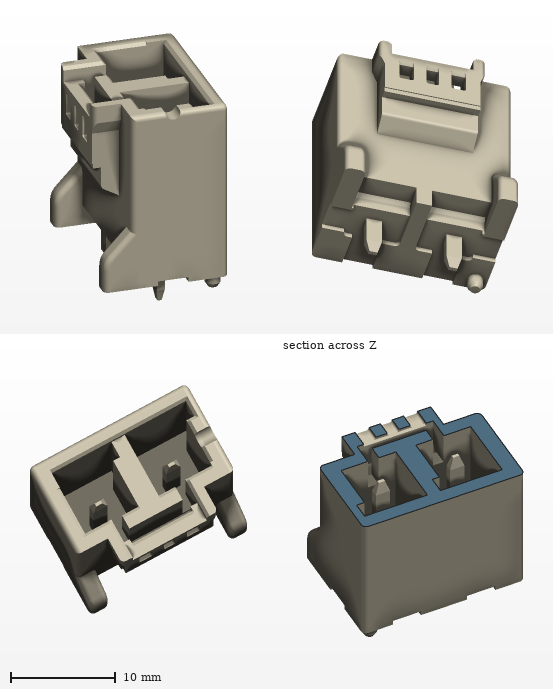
import cadquery as cq
import math


WIDTH = 17.22
BODY_DEPTH = 9.7
FRONT_REACH = 2.75
HEIGHT = 18.14
EDGE_RADIUS = 0.55

PIN_X = 3.97
PIN_Y = 4.19
PIN_WIDTH = 1.53
PIN_THICKNESS = 0.8
PIN_BOTTOM = HEIGHT - 21.8
PIN_TOP = 13.52
PIN_TIP_LENGTH = 1.26
TAIL_TIP_SIZE = (0.8, 0.4)
CONTACT_TIP_SIZE = (0.65, 0.33)

CAVITY_FLOOR = 2.62
CAVITY_HALF_WIDTH = 6.89
CAVITY_FRONT = 1.5
CAVITY_BACK = 8.2
KEY_Y = 6.52
KEY_RECESS_X = 7.74
RIM_CHAMFER = 0.3
RIB_CHAMFER_FRONT = 1.8

DIVIDER_TOP = 17.29
DIVIDER_HALF_WIDTH = 1.1
DIVIDER_NECK_LEFT = -0.35
CROSSBAR_HALF_WIDTH = 2.9

BOX_HALF_WIDTH = 4.75
EAR_HALF_WIDTH = 5.23
EAR_TAPER_TOP = 16.4
EAR_TAPER_BOTTOM = 15.15
BOX_LIP_TOP = 11.92
BOX_LIP_BOTTOM = 11.45
BOX_LIP_STEP = 0.1
BOX_CHIN_REACH = 1.8
BOX_FOOT = 8.22
BOX_FOOT_ANGLE = 30.0
BOX_CHIN_RADIUS = 0.44

CHANNEL_HALF_WIDTH = 4.03
CHANNEL_FLOOR = 10.46
PANEL_TOP = 16.61
PANEL_BACK = -0.8

SLOT_BEVEL_TOP = 11.12
SLOT_BEVEL_Y = -0.65
SLOT_BEVEL_BOTTOM = 10.9
SLOT_FLOOR_Y = -0.33
SLOT_FLOOR = 10.03

WINDOW_TOP = 15.87
WINDOW_BOTTOM = 13.55
WINDOW_CEILING_DROP = 0.3
WINDOW_CEILING_RUN = 0.25
WINDOW_OUTER_X = 3.31
WINDOW_INNER_X = 1.85
WINDOW_MIDDLE_HALF = 0.6
WINDOW_CORNER_RADIUS = 0.22
POCKET_FRONT = -1.2
POCKET_CHAMFER = 0.35

NOTCH_RADIUS = 0.76

LEG_INNER_X = 6.58
LEG_TOP = 5.95
LEG_CORNER_Z = 3.05
LEG_BEND_RADIUS = 2.0

UNDERCUT_DEPTH = 2.1
UNDERCUT_CEILING = 2.03
UNDERCUT_BEVEL_HEIGHT = 0.5
UNDERCUT_BEVEL_RUN = 0.28
POST_LEFT = -0.83
POST_RIGHT = 0.72
FOOT_HEIGHT = 0.48
FOOT_SIDE_X = 6.4
FOOT_FILLET = 0.48
FOOT_SETBACK = 6.21
GROOVE_WIDTH = 3.0
SIDE_GROOVE_WIDTH = 3.05

PEG_X = 7.4
PEG_Y = 8.52
PEG_RADIUS = 0.76
PEG_LENGTH = 1.33
PEG_CHAMFER = 0.45
PEG_TIP_INSET = 0.28


def block(x0, x1, y0, y1, z0, z1):
    return cq.Workplane("XY").box(x1 - x0, y1 - y0, z1 - z0, centered=False).translate((x0, y0, z0))


def across(points, x0, x1):
    """Prism of a (y, z) outline running from x0 to x1."""
    return cq.Workplane("YZ").workplane(offset=x0).polyline(points).close().extrude(x1 - x0)


def make_shell():
    """Outer block with its two legs, rounded at the sides, the back of the rim and along the legs."""
    profile = [
        (BODY_DEPTH, 0),
        (BODY_DEPTH, HEIGHT),
        (0, HEIGHT),
        (0, LEG_TOP),
        (-FRONT_REACH, LEG_CORNER_Z),
        (-FRONT_REACH, 0),
    ]
    shell = across(profile, -WIDTH / 2, WIDTH / 2)
    bend = cq.selectors.NearestToPointSelector((0, -FRONT_REACH, LEG_CORNER_Z))
    shell = shell.edges(bend).fillet(LEG_BEND_RADIUS)
    shell = shell.cut(block(-LEG_INNER_X, LEG_INNER_X, -2 * FRONT_REACH, 0, 0, HEIGHT))

    back_rim = shell.faces(">Y").edges(">Z")
    shell = shell.faces("<X or >X").edges("not <Z").add(back_rim).fillet(EDGE_RADIUS)

    clear = 0.02
    inner_edges = cq.selectors.BoxSelector(
        (-LEG_INNER_X - clear, -FRONT_REACH - clear, clear),
        (LEG_INNER_X + clear, -clear, LEG_TOP),
    )
    return shell.edges(inner_edges).fillet(EDGE_RADIUS)


def make_latch_box():
    """Box on the front wall: ears at the top, a lip at the front and a sloped chin below."""
    chin_drop = BOX_CHIN_REACH * math.tan(math.radians(BOX_FOOT_ANGLE))
    chin_z = BOX_FOOT + chin_drop
    lip_face = -FRONT_REACH + BOX_LIP_STEP
    side_profile = [
        (CAVITY_FRONT, HEIGHT),
        (-FRONT_REACH, HEIGHT),
        (-FRONT_REACH, BOX_LIP_TOP),
        (lip_face, BOX_LIP_TOP),
        (lip_face, BOX_LIP_BOTTOM),
        (-BOX_CHIN_REACH, BOX_LIP_BOTTOM),
        (-BOX_CHIN_REACH, chin_z),
        (0, BOX_FOOT),
        (CAVITY_FRONT, BOX_FOOT),
    ]
    box = across(side_profile, -EAR_HALF_WIDTH, EAR_HALF_WIDTH)
    chin_edge = cq.selectors.NearestToPointSelector((0, -BOX_CHIN_REACH, chin_z))
    box = box.edges(chin_edge).fillet(BOX_CHIN_RADIUS)

    front_profile = [
        (EAR_HALF_WIDTH, HEIGHT),
        (EAR_HALF_WIDTH, EAR_TAPER_TOP),
        (BOX_HALF_WIDTH, EAR_TAPER_BOTTOM),
        (BOX_HALF_WIDTH, BOX_FOOT),
    ]
    mirrored = [(-x, z) for x, z in reversed(front_profile)]
    front_prism = (
        cq.Workplane("XZ", origin=(0, CAVITY_FRONT, 0))
        .polyline(front_profile + mirrored)
        .close()
        .extrude(CAVITY_FRONT + FRONT_REACH)
    )
    ear_radius = EAR_HALF_WIDTH - BOX_HALF_WIDTH
    rounded_plan = block(
        -EAR_HALF_WIDTH, EAR_HALF_WIDTH, -FRONT_REACH, CAVITY_FRONT, 0, HEIGHT
    ).edges("|Z and <Y").fillet(ear_radius)
    return box.intersect(front_prism).intersect(rounded_plan)


def make_cavity():
    """Contact cavity with its keying recess and the chamfer around its rim."""
    outline = [
        (-CAVITY_HALF_WIDTH, CAVITY_FRONT),
        (CAVITY_HALF_WIDTH, CAVITY_FRONT),
        (CAVITY_HALF_WIDTH, KEY_Y),
        (KEY_RECESS_X, KEY_Y),
        (KEY_RECESS_X, CAVITY_BACK),
        (-CAVITY_HALF_WIDTH, CAVITY_BACK),
    ]
    cavity = (
        cq.Workplane("XY", origin=(0, 0, CAVITY_FLOOR))
        .polyline(outline)
        .close()
        .extrude(HEIGHT - CAVITY_FLOOR)
    )

    rim_x = CAVITY_HALF_WIDTH + RIM_CHAMFER
    channel_x = CHANNEL_HALF_WIDTH + RIM_CHAMFER
    rim_front = CAVITY_FRONT - RIM_CHAMFER
    beyond_front = -2 * FRONT_REACH
    rim_outline = [
        (-channel_x, beyond_front),
        (channel_x, beyond_front),
        (channel_x, rim_front),
        (rim_x, rim_front),
        (rim_x, KEY_Y - RIM_CHAMFER),
        (KEY_RECESS_X + RIM_CHAMFER, KEY_Y - RIM_CHAMFER),
        (KEY_RECESS_X + RIM_CHAMFER, CAVITY_BACK + RIM_CHAMFER),
        (-rim_x, CAVITY_BACK + RIM_CHAMFER),
        (-rim_x, rim_front),
        (-channel_x, rim_front),
    ]
    rim = (
        cq.Workplane("XY", origin=(0, 0, HEIGHT))
        .polyline(rim_outline)
        .close()
        .extrude(-RIM_CHAMFER, taper=45)
    )
    low = HEIGHT - RIM_CHAMFER
    rim = rim.cut(block(-rim_x, -CAVITY_HALF_WIDTH, KEY_Y, BODY_DEPTH, low, HEIGHT))
    rim = rim.cut(block(CAVITY_HALF_WIDTH, rim_x, 0, RIB_CHAMFER_FRONT, low, HEIGHT))
    return cavity.union(rim)


def make_latch_channel():
    """Slot between cavity and latch panel, open over the panel and stepped at its bottom."""
    x = CHANNEL_HALF_WIDTH
    passage = block(-x, x, 0, CAVITY_FRONT, CHANNEL_FLOOR, HEIGHT)
    slot_profile = [
        (0, HEIGHT),
        (-FRONT_REACH, HEIGHT),
        (-FRONT_REACH, PANEL_TOP),
        (PANEL_BACK, PANEL_TOP),
        (PANEL_BACK, SLOT_BEVEL_TOP),
        (SLOT_BEVEL_Y, SLOT_BEVEL_BOTTOM),
        (SLOT_FLOOR_Y, SLOT_FLOOR),
        (0, SLOT_FLOOR),
    ]
    return passage.union(across(slot_profile, -x, x))


def make_windows():
    """Three windows through the latch panel and the pocket behind them."""

    def opening(x0, x1):
        window = block(x0, x1, -FRONT_REACH, PANEL_BACK, WINDOW_BOTTOM, WINDOW_TOP)
        return window.edges("|Y").fillet(WINDOW_CORNER_RADIUS)

    windows = opening(-WINDOW_MIDDLE_HALF, WINDOW_MIDDLE_HALF)
    windows = windows.union(opening(-WINDOW_OUTER_X, -WINDOW_INNER_X))
    windows = windows.union(opening(WINDOW_INNER_X, WINDOW_OUTER_X))

    ceiling_z = WINDOW_TOP - WINDOW_CEILING_DROP
    ceiling = [
        (-FRONT_REACH, WINDOW_TOP),
        (-FRONT_REACH + WINDOW_CEILING_RUN, ceiling_z),
        (PANEL_BACK, ceiling_z),
        (PANEL_BACK, WINDOW_TOP),
    ]
    windows = windows.cut(across(ceiling, -WINDOW_OUTER_X, WINDOW_OUTER_X))

    pocket_profile = [
        (PANEL_BACK, PANEL_TOP),
        (POCKET_FRONT - POCKET_CHAMFER, PANEL_TOP),
        (POCKET_FRONT, PANEL_TOP - POCKET_CHAMFER),
        (POCKET_FRONT, WINDOW_BOTTOM),
        (PANEL_BACK, WINDOW_BOTTOM),
    ]
    pocket = across(pocket_profile, -WINDOW_OUTER_X, WINDOW_OUTER_X)
    return windows.union(pocket)


def make_divider():
    """Wall between the two contacts, ending in a crossbar behind the latch channel."""
    outline = [
        (-DIVIDER_HALF_WIDTH, 0),
        (DIVIDER_HALF_WIDTH, 0),
        (DIVIDER_HALF_WIDTH, CAVITY_BACK),
        (DIVIDER_NECK_LEFT, CAVITY_BACK),
        (DIVIDER_NECK_LEFT, KEY_Y),
        (-DIVIDER_HALF_WIDTH, KEY_Y),
    ]
    wall = (
        cq.Workplane("XY", origin=(0, 0, CAVITY_FLOOR))
        .polyline(outline)
        .close()
        .extrude(DIVIDER_TOP - CAVITY_FLOOR)
    )
    x = CROSSBAR_HALF_WIDTH
    crossbar = block(-x, x, 0, CAVITY_FRONT, CAVITY_FLOOR, DIVIDER_TOP)
    crossbar = crossbar.edges(">Y and >Z").chamfer(RIM_CHAMFER)
    return wall.union(crossbar)


def make_underside():
    """Bevelled undercuts at the front, foot setbacks behind them and grooves around the pins."""
    y = UNDERCUT_DEPTH
    undercut_profile = [
        (-FRONT_REACH, 0),
        (-FRONT_REACH, UNDERCUT_CEILING),
        (y, UNDERCUT_CEILING),
        (y + UNDERCUT_BEVEL_RUN, UNDERCUT_CEILING - UNDERCUT_BEVEL_HEIGHT),
        (y + UNDERCUT_BEVEL_RUN, 0),
    ]
    half = GROOVE_WIDTH / 2
    side_y0 = PIN_Y - SIDE_GROOVE_WIDTH / 2
    side_y1 = PIN_Y + SIDE_GROOVE_WIDTH / 2
    cuts = across(undercut_profile, -LEG_INNER_X, POST_LEFT)
    cuts = cuts.union(across(undercut_profile, POST_RIGHT, LEG_INNER_X))

    for x0, x1 in ((-FOOT_SIDE_X, POST_LEFT), (POST_RIGHT, FOOT_SIDE_X)):
        setback = block(x0, x1, 0, FOOT_SETBACK, 0, FOOT_HEIGHT)
        cuts = cuts.union(setback.edges("|Z and >Y").fillet(FOOT_FILLET))

    for x0, x1 in ((-WIDTH / 2, -PIN_X - half), (PIN_X + half, WIDTH / 2)):
        cuts = cuts.union(block(x0, x1, side_y0, side_y1, 0, FOOT_HEIGHT))
    for x in (-PIN_X, PIN_X):
        cuts = cuts.union(block(x - half, x + half, 0, BODY_DEPTH, 0, FOOT_HEIGHT))
    return cuts


def make_pin(x):
    """Flat pin with a blunt pyramid at each end."""
    shank_bottom = PIN_BOTTOM + PIN_TIP_LENGTH
    shank_top = PIN_TOP - PIN_TIP_LENGTH
    pin = cq.Workplane("XY", origin=(x, PIN_Y, shank_bottom)).rect(PIN_WIDTH, PIN_THICKNESS)
    pin = pin.extrude(shank_top - shank_bottom)
    for start, length, tip in (
        (shank_top, PIN_TIP_LENGTH, CONTACT_TIP_SIZE),
        (shank_bottom, -PIN_TIP_LENGTH, TAIL_TIP_SIZE),
    ):
        taper = cq.Workplane("XY", origin=(x, PIN_Y, start)).rect(PIN_WIDTH, PIN_THICKNESS)
        pin = pin.union(taper.workplane(offset=length).rect(*tip).loft())
    return pin


def make_peg():
    """Locating peg under the back right corner, with a conical end."""
    peg = cq.Workplane("XY", origin=(PEG_X, PEG_Y, 0)).circle(PEG_RADIUS).extrude(-PEG_LENGTH)
    return peg.faces("<Z").chamfer(PEG_CHAMFER, PEG_TIP_INSET)


def make_notch():
    """Half-round notch through the rim of the right wall, level with the pins."""
    return cq.Workplane("YZ", origin=(0, PIN_Y, HEIGHT)).circle(NOTCH_RADIUS).extrude(WIDTH)


housing = make_shell().union(make_latch_box())
housing = housing.cut(make_cavity()).cut(make_latch_channel()).cut(make_windows())
housing = housing.union(make_divider()).cut(make_notch())
housing = housing.cut(make_underside())

result = housing.union(make_peg())
for pin_x in (-PIN_X, PIN_X):
    result = result.union(make_pin(pin_x))